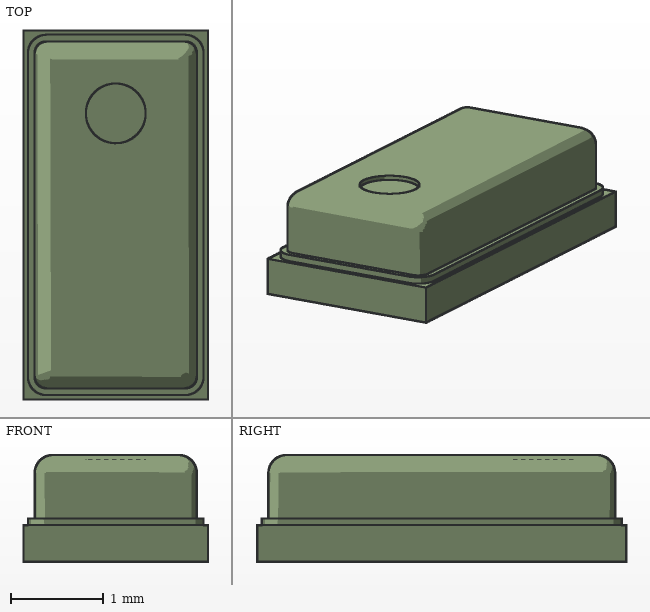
import cadquery as cq

board_width = 2.0
board_length = 4.0
board_height = 0.4

total_height = 1.16
sheet_thickness = 0.07
flange_margin = 0.05
flange_corner_radius = 0.2
lid_top_radius = 0.2

recess_diameter = 0.65
recess_depth = 0.05
recess_center_y = 1.1

flange_width = board_width - 2 * flange_margin
flange_length = board_length - 2 * flange_margin
lid_width = flange_width - 2 * sheet_thickness
lid_length = flange_length - 2 * sheet_thickness
lid_corner_radius = flange_corner_radius - sheet_thickness
lid_height = total_height - board_height


def block(width, length, height, base_z):
    """Box centred on the Z axis, standing on the given level."""
    return cq.Workplane("XY").workplane(offset=base_z).rect(width, length).extrude(height)


def make_flange():
    flange = block(flange_width, flange_length, sheet_thickness, board_height)
    return flange.edges("|Z").fillet(flange_corner_radius)


def make_lid():
    """Rounding the top first lets each corner fillet run up to the flat top."""
    lid = block(lid_width, lid_length, lid_height, board_height)
    lid = lid.faces(">Z").edges().fillet(lid_top_radius)
    return lid.edges("|Z").fillet(lid_corner_radius)


def make_recess():
    return (
        cq.Workplane("XY")
        .workplane(offset=total_height - recess_depth)
        .center(0, recess_center_y)
        .circle(recess_diameter / 2)
        .extrude(recess_depth)
    )


board = block(board_width, board_length, board_height, 0)
result = board.union(make_flange()).union(make_lid()).cut(make_recess())